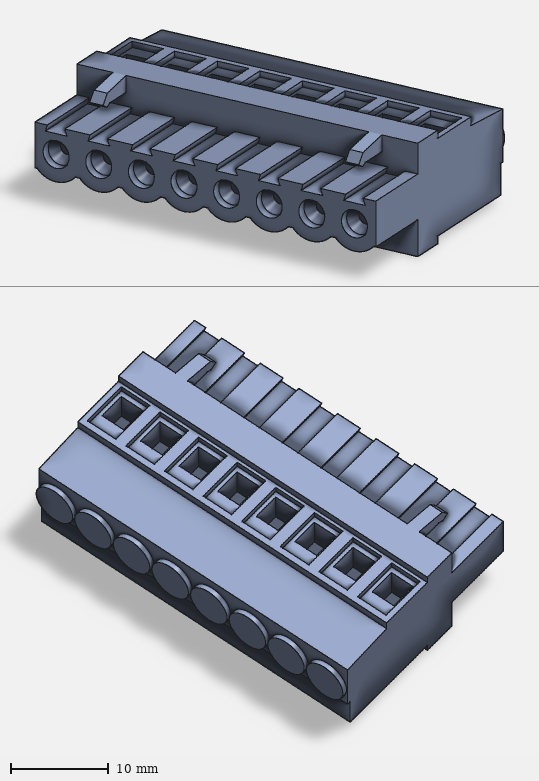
import cadquery as cq


length = 40.6
pole_count = 8
pitch = length / pole_count
pole_positions = [(i - (pole_count - 1) / 2) * pitch for i in range(pole_count)]

flange_front = 8.35
flange_back = 12.35
flange_top = 12.6
body_bottom = 0.85
deck_top = 11.7
deck_back = 18.95
slope_top = 10.7
slope_bottom = 10.25
ledge_height = 4.4
lower_back = 24.88
body_back = 25.3

nose_top = 9.17
nose_bottom = 4.1
socket_height = 6.13
lobe_radius = 3.05

socket_mouth_diameter = 3.1
socket_floor_diameter = 1.62
socket_mouth_depth = 1.0
socket_depth = 2.25

groove_depth = 0.75
groove_top_width = 2.05
groove_bottom_width = 2.55

window_width = 3.75
window_front = 12.7
window_back = 18.22
window_depth = 0.7
well_width = 2.85
well_front = 13.25
well_back = 16.4
well_depth = 4.05

screw_diameter = 4.8
screw_back = 25.9
screw_height = ledge_height + screw_diameter / 2

latch_offset = 3 * pitch
latch_width = 1.6
latch_root_bottom = 10.7
latch_heel = (5.15, latch_root_bottom)
latch_hook = (4.55, 10.43)
latch_tip = (3.77, 10.9)
latch_shoulder = (4.63, 11.97)


def extrude_along_row(side_points, width, center_x=0.0):
    """Extrude a (y, z) outline along X, centred on center_x."""
    outline = cq.Workplane("YZ").polyline(side_points).close()
    return outline.extrude(width / 2, both=True).translate((center_x, 0, 0))


def box_between(width, y_range, z_range, center_x=0.0):
    """Box centred on center_x that spans the given Y and Z ranges."""
    y_start, y_end = y_range
    z_start, z_end = z_range
    box = cq.Workplane("XY").box(width, y_end - y_start, z_end - z_start, centered=(True, False, False))
    return box.translate((center_x, y_start, z_start))


def cylinder_along_y(diameter, center_x, center_z, y_start, y_end):
    """Cylinder whose axis runs along Y."""
    plane = cq.Plane(origin=(center_x, y_start, center_z), xDir=(1, 0, 0), normal=(0, 1, 0))
    return cq.Workplane(plane).circle(diameter / 2).extrude(y_end - y_start)


def make_housing():
    return extrude_along_row(
        [
            (flange_front, 0),
            (flange_back, 0),
            (flange_back, body_bottom),
            (lower_back, body_bottom),
            (lower_back, ledge_height),
            (body_back, ledge_height),
            (body_back, slope_bottom),
            (deck_back, slope_top),
            (deck_back, deck_top),
            (flange_back, deck_top),
            (flange_back, flange_top),
            (flange_front, flange_top),
        ],
        length,
    )


def make_nose():
    nose = box_between(length, (0, flange_front), (nose_bottom, nose_top))
    for x in pole_positions:
        nose = nose.union(cylinder_along_y(2 * lobe_radius, x, socket_height, 0, flange_front))
    envelope = box_between(length, (0, flange_front), (0, nose_top))
    return nose.intersect(envelope)


def make_groove(x):
    groove_floor = nose_top - groove_depth
    outline = cq.Workplane("XZ").polyline(
        [
            (x - groove_top_width / 2, nose_top),
            (x + groove_top_width / 2, nose_top),
            (x + groove_bottom_width / 2, groove_floor),
            (x - groove_bottom_width / 2, groove_floor),
        ]
    )
    return outline.close().extrude(-flange_front)


def make_socket(x):
    mouth_radius = socket_mouth_diameter / 2
    floor_radius = socket_floor_diameter / 2
    half_section = cq.Workplane("XY").polyline(
        [
            (0, 0),
            (mouth_radius, 0),
            (mouth_radius, socket_mouth_depth),
            (floor_radius, socket_depth),
            (0, socket_depth),
        ]
    )
    socket = half_section.close().revolve(360, (0, 0, 0), (0, 1, 0))
    return socket.translate((x, 0, socket_height))


def make_window(x):
    window = box_between(window_width, (window_front, window_back), (deck_top - window_depth, deck_top), x)
    well = box_between(well_width, (well_front, well_back), (deck_top - well_depth, deck_top), x)
    return window.union(well)


def make_latch(x):
    return extrude_along_row(
        [
            (flange_front, flange_top),
            (flange_front, latch_root_bottom),
            latch_heel,
            latch_hook,
            latch_tip,
            latch_shoulder,
        ],
        latch_width,
        x,
    )


result = make_housing().union(make_nose())

for pole_x in pole_positions:
    result = result.cut(make_groove(pole_x))
    result = result.cut(make_socket(pole_x))
    result = result.cut(make_window(pole_x))
    result = result.union(cylinder_along_y(screw_diameter, pole_x, screw_height, lower_back, screw_back))

for latch_x in (-latch_offset, latch_offset):
    result = result.union(make_latch(latch_x))